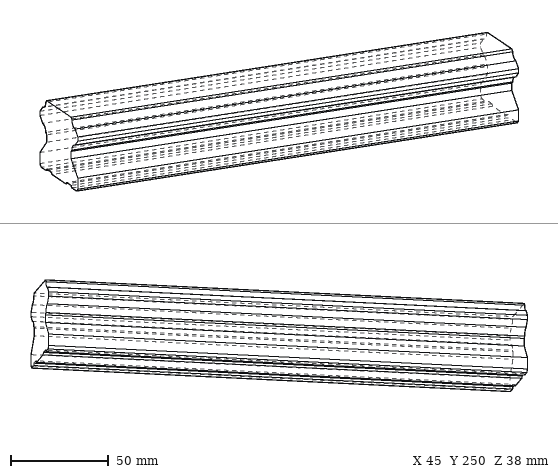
import cadquery as cq

LENGTH = 250.0
WIDTH = 45.0
HEIGHT = 38.0
half_width = WIDTH / 2

LIP_TOP_Z = 29.8
LIP_BOTTOM_Z = 27.5
LIP_CHAMFER = 3.2

GROOVE_SIZE = 3.8
GROOVE_SAG = 1.0
groove_mouth_x = half_width - LIP_CHAMFER
groove_root_x = groove_mouth_x - GROOVE_SIZE
upper_mouth_z = LIP_TOP_Z + LIP_CHAMFER
upper_root_z = upper_mouth_z + GROOVE_SIZE
lower_mouth_z = LIP_BOTTOM_Z - LIP_CHAMFER
lower_root_z = lower_mouth_z - GROOVE_SIZE

TOP_HALF_WIDTH = 14.5
WAIST_TOP_Z = 19.5
FOOT_TOP_Z = 7.5
FOOT_CHAMFER = 1.5
waist_bottom_z = FOOT_TOP_Z + half_width - TOP_HALF_WIDTH

RELIEF_DEPTH = 1.0
RELIEF_INNER_X = 8.2
RELIEF_OUTER_X = 15.2


def rail_half():
    """Right half of the rail, closed along the centre plane."""
    return (
        cq.Workplane("XZ", origin=(0, LENGTH / 2, 0))
        .moveTo(0, HEIGHT)
        .lineTo(TOP_HALF_WIDTH, HEIGHT)
        .lineTo(groove_root_x, upper_root_z)
        .sagittaArc((groove_mouth_x, upper_mouth_z), -GROOVE_SAG)
        .lineTo(half_width, LIP_TOP_Z)
        .lineTo(half_width, LIP_BOTTOM_Z)
        .lineTo(groove_mouth_x, lower_mouth_z)
        .sagittaArc((groove_root_x, lower_root_z), -GROOVE_SAG)
        .lineTo(TOP_HALF_WIDTH, WAIST_TOP_Z)
        .lineTo(TOP_HALF_WIDTH, waist_bottom_z)
        .lineTo(half_width, FOOT_TOP_Z)
        .lineTo(half_width, FOOT_CHAMFER)
        .lineTo(half_width - FOOT_CHAMFER, 0)
        .lineTo(RELIEF_OUTER_X, 0)
        .lineTo(RELIEF_OUTER_X - RELIEF_DEPTH, RELIEF_DEPTH)
        .lineTo(RELIEF_INNER_X + RELIEF_DEPTH, RELIEF_DEPTH)
        .lineTo(RELIEF_INNER_X, 0)
        .lineTo(0, 0)
        .close()
        .extrude(LENGTH)
    )


right_half = rail_half()
result = right_half.union(right_half.mirror("YZ")).clean()